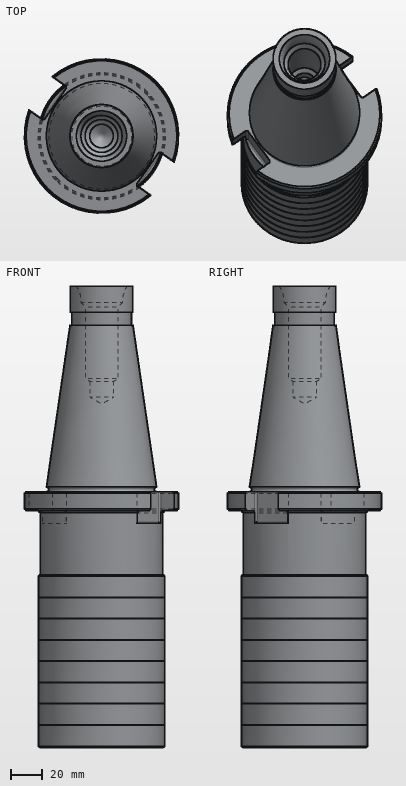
import cadquery as cq
import math

FULL_TURN = 360.0

SLEEVE_DIAMETER = 80.0
SLEEVE_BOTTOM_CHAMFER = 1.2
SLEEVE_TOP_CHAMFER = 1.0
BAND_COUNT = 8
BAND_HEIGHT = 13.5
BAND_GROOVE_WIDTH = 0.3
BAND_GROOVE_DEPTH = 0.15

TOTAL_HEIGHT = 291.8
SLEEVE_TOP = SLEEVE_BOTTOM_CHAMFER + BAND_COUNT * BAND_HEIGHT + SLEEVE_TOP_CHAMFER
FLANGE_BOTTOM = 150.0
FLANGE_TOP = 162.0
TAPER_BOTTOM = 165.0
TAPER_TOP = 267.0
COLLAR_BOTTOM = 275.2

SHANK_DIAMETER = 77.5
FLANGE_DIAMETER = 97.5
TAPER_DIAMETER = 69.7
TAPER_RATIO = 7 / 24
GROOVE_DIAMETER = 38.0
COLLAR_DIAMETER = 39.7

SHANK_FLARE = 1.5
FLANGE_CHAMFER = 1.2

SLOT_WIDTH = 25.7
SLOT_FLOOR = 35.5
SLOT_BOTTOM = 141.8
SLOT_FILLET = 1.2
SLOT_ANGLE = 145.0

MOUTH_DIAMETER = 31.8
RECESS_DIAMETER = 26.0
BORE_DIAMETER = 20.7
PILOT_DIAMETER = 15.0
MOUTH_DEPTH = 10.2
SEAT_DEPTH = 13.0
BORE_DEPTH = 58.5
PILOT_DEPTH = 70.0
DRILL_HALF_ANGLE = 60.0


def make_band_groove(level):
    """Shallow V-groove ring around the sleeve, centred on the given level."""
    sleeve_r = SLEEVE_DIAMETER / 2
    return (
        cq.Workplane("XZ")
        .moveTo(sleeve_r - BAND_GROOVE_DEPTH, level)
        .lineTo(sleeve_r, level + BAND_GROOVE_WIDTH / 2)
        .lineTo(sleeve_r, level - BAND_GROOVE_WIDTH / 2)
        .close()
        .revolve(FULL_TURN, (0, 0), (0, 1))
    )


def make_sleeve():
    body = (
        cq.Workplane("XY")
        .circle(SLEEVE_DIAMETER / 2)
        .extrude(SLEEVE_TOP)
        .faces("<Z")
        .chamfer(SLEEVE_BOTTOM_CHAMFER)
        .faces(">Z")
        .chamfer(SLEEVE_TOP_CHAMFER)
    )
    for joint in range(1, BAND_COUNT):
        body = body.cut(make_band_groove(SLEEVE_BOTTOM_CHAMFER + joint * BAND_HEIGHT))
    return body


def make_arbor_blank():
    shank_r = SHANK_DIAMETER / 2
    flange_r = FLANGE_DIAMETER / 2
    undercut_r = (TAPER_BOTTOM - FLANGE_TOP) / 2
    taper_r = TAPER_DIAMETER / 2
    taper_top_r = taper_r - (TAPER_TOP - TAPER_BOTTOM) * TAPER_RATIO / 2
    groove_r = GROOVE_DIAMETER / 2
    collar_r = COLLAR_DIAMETER / 2
    return (
        cq.Workplane("XZ")
        .moveTo(0, SLEEVE_TOP)
        .lineTo(shank_r, SLEEVE_TOP)
        .lineTo(shank_r, FLANGE_BOTTOM - SHANK_FLARE)
        .lineTo(shank_r + SHANK_FLARE, FLANGE_BOTTOM)
        .lineTo(flange_r - FLANGE_CHAMFER, FLANGE_BOTTOM)
        .lineTo(flange_r, FLANGE_BOTTOM + FLANGE_CHAMFER)
        .lineTo(flange_r, FLANGE_TOP - FLANGE_CHAMFER)
        .lineTo(flange_r - FLANGE_CHAMFER, FLANGE_TOP)
        .lineTo(taper_r, FLANGE_TOP)
        .radiusArc((taper_r, TAPER_BOTTOM), undercut_r)
        .lineTo(taper_top_r, TAPER_TOP)
        .lineTo(groove_r, TAPER_TOP)
        .lineTo(groove_r, COLLAR_BOTTOM)
        .lineTo(collar_r, COLLAR_BOTTOM)
        .lineTo(collar_r, TOTAL_HEIGHT)
        .lineTo(0, TOTAL_HEIGHT)
        .close()
        .revolve(FULL_TURN, (0, 0), (0, 1))
    )


def make_centre_hole():
    mouth_r = MOUTH_DIAMETER / 2
    recess_r = RECESS_DIAMETER / 2
    bore_r = BORE_DIAMETER / 2
    pilot_r = PILOT_DIAMETER / 2
    flare = mouth_r - recess_r
    flare_radius = (flare**2 + MOUTH_DEPTH**2) / (2 * flare)
    slope = math.tan(math.radians(DRILL_HALF_ANGLE))
    shoulder = (bore_r - pilot_r) / slope
    tip = pilot_r / slope
    return (
        cq.Workplane("XZ")
        .moveTo(0, TOTAL_HEIGHT)
        .lineTo(mouth_r, TOTAL_HEIGHT)
        .radiusArc((recess_r, TOTAL_HEIGHT - MOUTH_DEPTH), -flare_radius)
        .lineTo(bore_r, TOTAL_HEIGHT - SEAT_DEPTH)
        .lineTo(bore_r, TOTAL_HEIGHT - BORE_DEPTH)
        .lineTo(pilot_r, TOTAL_HEIGHT - BORE_DEPTH - shoulder)
        .lineTo(pilot_r, TOTAL_HEIGHT - PILOT_DEPTH)
        .lineTo(0, TOTAL_HEIGHT - PILOT_DEPTH - tip)
        .close()
        .revolve(FULL_TURN, (0, 0), (0, 1))
    )


def make_drive_slot(angle):
    length = FLANGE_DIAMETER / 2
    return (
        cq.Workplane("XY")
        .workplane(offset=SLOT_BOTTOM)
        .center(SLOT_FLOOR + length / 2, 0)
        .rect(length, SLOT_WIDTH)
        .extrude(FLANGE_TOP - SLOT_BOTTOM)
        .edges("<X except >Z")
        .fillet(SLOT_FILLET)
        .rotate((0, 0, 0), (0, 0, 1), angle)
    )


def make_arbor():
    body = make_arbor_blank().cut(make_centre_hole())
    for angle in (SLOT_ANGLE, SLOT_ANGLE + FULL_TURN / 2):
        body = body.cut(make_drive_slot(angle))
    return body


sleeve = make_sleeve()
arbor = make_arbor()
result = cq.Compound.makeCompound([sleeve.val(), arbor.val()])